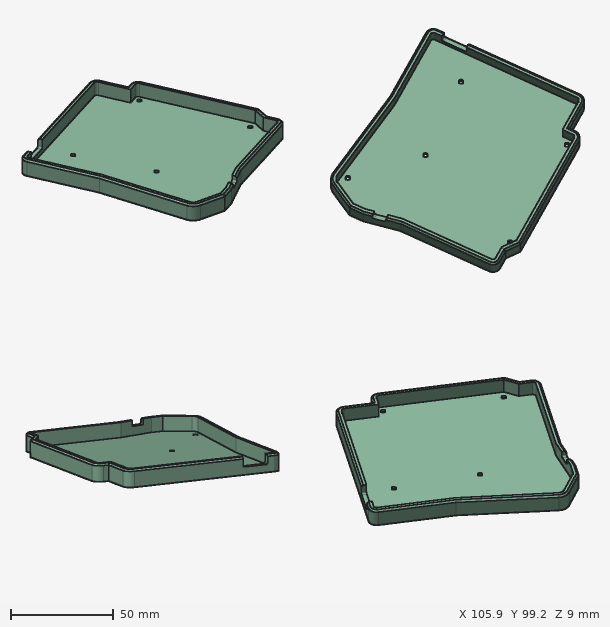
import cadquery as cq

width = 105.9
depth = 99.2
height = 9.0
wall = 2.5
floor = 1.5
corner_radius = 4.0
tip_radius = 5.9
rim_chamfer = 1.0

front_y = 6.1
front_bend_x = 42.8
step_x = 18.8
step_y = 92.1
right_x = 102.4
shoulder_y = 94.5
tip_x = 96.6
tip_y = -0.45
slant_top_y = 41.9
slant_bottom_y = 23.2
tip_slope_top_y = 15.8

outline_corners = [
    (0, front_y, corner_radius),
    (front_bend_x, front_y, 0),
    (tip_x, tip_y, tip_radius),
    (width, tip_slope_top_y, 0),
    (width, slant_bottom_y, 0),
    (right_x, slant_top_y, 0),
    (right_x, shoulder_y, corner_radius),
    (92.5, shoulder_y, 0),
    (86.0, depth, 0),
    (step_x, depth, corner_radius),
    (step_x, step_y, 0),
    (0, step_y, corner_radius),
]

hole_diameter = 2.2
hole_centers = [(24.4, 93.5), (84.3, 92.7), (60.6, 34.4), (17.0, 31.9), (88.7, 6.1)]

notch_radius = 1.0
left_notch_y = (14.1, 27.5)
left_notch_floor = 4.0
right_notch_y = (27.6, 34.5)
right_notch_floor = 6.0
notch_reach = 8.5


def outline_prism():
    points = [(x, y) for x, y, _ in outline_corners]
    prism = cq.Workplane("XY").polyline(points).close().extrude(height)
    for x, y, radius in outline_corners:
        if radius > 0:
            corner = cq.selectors.NearestToPointSelector((x, y, height / 2))
            prism = prism.edges("|Z").edges(corner).fillet(radius)
    return prism


def cavity(prism):
    bottom_wire = prism.faces("<Z").wires().val()
    inner_wires = bottom_wire.offset2D(-wall, "intersection")
    inner_outline = cq.Workplane("XY").newObject(inner_wires).toPending()
    return inner_outline.extrude(height).translate((0, 0, floor))


def notch(start_x, y_range, bottom):
    y_min, y_max = y_range
    cutter = cq.Workplane("XY").box(notch_reach, y_max - y_min, height, centered=False)
    cutter = cutter.edges("|X and <Z").fillet(notch_radius)
    return cutter.translate((start_x, y_min, bottom))


outer = outline_prism()
tray = outer.faces(">Z").chamfer(rim_chamfer)
tray = tray.cut(cavity(outer))

tray = tray.cut(notch(wall - notch_reach, left_notch_y, left_notch_floor))
tray = tray.cut(notch(width - notch_reach, right_notch_y, right_notch_floor))

holes = cq.Workplane("XY").pushPoints(hole_centers).circle(hole_diameter / 2).extrude(height)
result = tray.cut(holes)